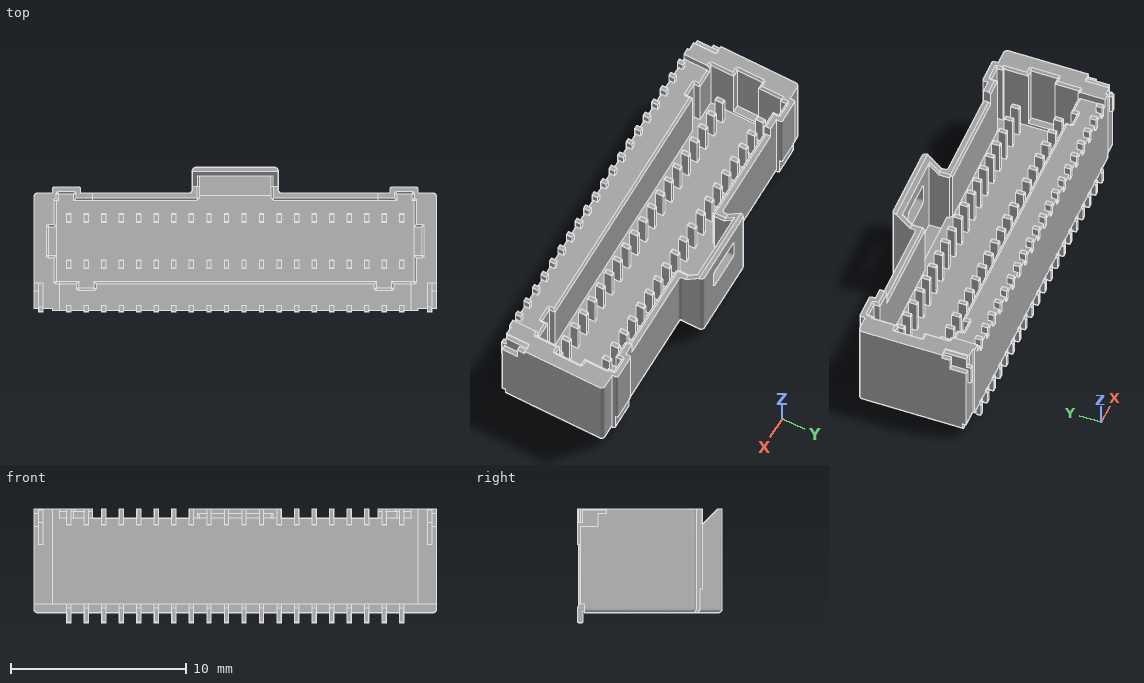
import cadquery as cq

length = 23.0
height = 5.93
back_y = 6.72
end_front_y = 0.12
panel_half = 10.45
edge_round = 0.23
bump_round = 0.12
foot_recess_depth = 0.32
foot_recess_height = 0.5

front_wall_top = 5.4
front_wall_half = 10.03
back_wall_top = 5.08
back_wall_half = 8.15

floor_z = 1.52
cavity_half = 10.21
cavity_front = 1.65
cavity_back = 6.28
rim = 0.14

bump_inner_x = 8.83
bump_outer_x = 10.45
bump_back = 7.05
bump_foot_back = 6.92
bump_foot_height = 1.35
bump_pocket_inner_x = 9.22
bump_pocket_outer_x = 10.1
bump_pocket_back = 6.65

latch_half = 2.45
latch_back = 8.19
latch_side_wall = 0.41
latch_back_wall = 0.5
latch_slope_start = 7.94
latch_floor_z = 0.4
latch_floor_front = 6.58
latch_corner_round = 0.14
latch_root_round = 0.15
latch_rim = 0.12
window_width = 2.44
window_bottom = 3.22
window_top = 4.78
window_round = 0.3

end_slot_x = 10.65
end_slot_y = (3.15, 4.78)
end_slot_floor_z = 1.75
front_key_x = (8.07, 8.92)
front_key_y = 1.29

pins_per_row = 20
pitch = 1.0
pin_width = 0.25
pin_depth = 0.5
pin_top = 3.73
pin_rows_y = (2.65, 5.3)
pin_chamfer = 0.05
lead_front = -0.07
hook_back = 0.3
hook_bottom = 5.01
tail_bottom = -0.58
tail_tip_chamfer = 0.07

clip_outer_x = 11.22
clip_inner_x = 10.97
clip_back = 1.59
clip_top = 5.86
clip_front = 0.2
clip_leg_top = 5.18
clip_leg_bottom = 3.9
clip_pocket_y = 1.1
clip_pocket_z = 4.95
clip_ledge_z = 5.68

pocket_half = latch_half - latch_side_wall
pocket_back = latch_back - latch_back_wall
cavity_middle = (cavity_front + cavity_back) / 2
slope_foot = latch_slope_start - (height - back_wall_top)

eps = 0.23
pin_xs = [(i - (pins_per_row - 1) / 2) * pitch for i in range(pins_per_row)]


def block(x0, x1, y0, y1, z0, z1):
    """Box between two opposite corners."""
    return cq.Workplane("XY").box(x1 - x0, y1 - y0, z1 - z0, centered=False).translate((x0, y0, z0))


def both_ends(body):
    """A body on the -X side together with its mirror image."""
    return body.union(body.mirror("YZ"))


def profile_along_x(points, width):
    """Extrude a (Y, Z) profile symmetrically about X = 0."""
    return cq.Workplane("YZ").polyline(points).close().extrude(width / 2, both=True)


def latch_root_fillet():
    """Concave filler in the outer corner between one side of the latch and the back wall."""
    r = latch_root_round
    x = -latch_half
    return (
        cq.Workplane("XY", origin=(0, 0, edge_round))
        .moveTo(x + eps, back_y - eps)
        .lineTo(x - r, back_y - eps)
        .lineTo(x - r, back_y)
        .radiusArc((x, back_y + r), -r)
        .lineTo(x + eps, back_y + r)
        .close()
        .extrude(height - edge_round)
    )


def outer_body():
    half = length / 2
    body = block(-half, half, end_front_y, back_y, 0, height)
    body = body.edges("|Z and >Y").fillet(edge_round)
    body = body.faces("<Z").edges("not <Y").fillet(edge_round)
    body = body.union(block(-panel_half, panel_half, 0, end_front_y + eps, 0, height))

    latch = block(-latch_half, latch_half, back_y - 2 * eps, latch_back, 0, height)
    latch = latch.edges("|Z and >Y").fillet(edge_round)
    latch = latch.faces("<Z").edges("not <Y").fillet(edge_round)
    body = body.union(latch).union(both_ends(latch_root_fillet()))

    bump = block(-bump_outer_x, -bump_inner_x, back_y - 2 * eps, bump_back, bump_foot_height, height)
    bump = bump.edges("|Z and >Y").fillet(bump_round)
    foot = block(-bump_outer_x, -bump_inner_x, back_y - 2 * eps, bump_foot_back, 0, bump_foot_height)
    foot = foot.faces("<Z").edges(">Y").fillet(edge_round)
    body = body.union(both_ends(bump.union(foot)))

    recess = block(-half - eps, half + eps, -eps, foot_recess_depth, -eps, foot_recess_height)
    return body.cut(recess)


def lower_walls(body):
    """Drop the front and back walls below the ends, sloping up to the top of the latch."""
    above = height + eps
    back_cut = profile_along_x(
        [
            (cavity_middle, above),
            (cavity_middle, back_wall_top),
            (slope_foot, back_wall_top),
            (latch_slope_start, height),
            (latch_slope_start, above),
        ],
        2 * back_wall_half,
    )
    front_cut = block(-front_wall_half, front_wall_half, -eps, cavity_middle, front_wall_top, above)
    return body.cut(back_cut).cut(front_cut)


def cavity_pieces(bottom, top, slot_bottom, taper=0):
    """Main cavity, latch pocket, bump pockets and key slots; a negative taper flares them upwards."""

    def pocket(x0, x1, y0, y1, z0=bottom):
        base = cq.Workplane("XY", origin=((x0 + x1) / 2, (y0 + y1) / 2, z0))
        return base.rect(x1 - x0, y1 - y0).extrude(top - z0, taper=taper)

    pieces = pocket(-cavity_half, cavity_half, cavity_front, cavity_back)
    pieces = pieces.union(pocket(-pocket_half, pocket_half, cavity_middle, pocket_back))
    sides = pocket(-bump_pocket_outer_x, -bump_pocket_inner_x, cavity_middle, bump_pocket_back)
    sides = sides.union(pocket(-end_slot_x, -cavity_half + 2 * eps, *end_slot_y, slot_bottom))
    sides = sides.union(pocket(-front_key_x[1], -front_key_x[0], front_key_y, cavity_middle))
    return pieces.union(both_ends(sides))


def latch_slope_chamfer():
    """Wedge that bevels one sloped edge of the latch pocket, swept along the 45 degree slope."""
    corners = [
        (-pocket_half + eps, -latch_rim),
        (-pocket_half, -latch_rim),
        (-pocket_half - latch_rim, 0),
        (-pocket_half - latch_rim, eps),
        (-pocket_half + eps, eps),
    ]
    points = [cq.Vector(x, slope_foot, back_wall_top + z) for x, z in corners]
    run = pocket_back - slope_foot
    wedge = cq.Solid.extrudeLinear(cq.Wire.makePolygon(points, close=True), [], cq.Vector(0, run, run))
    return cq.Workplane(obj=wedge)


def rounded_pocket_corner():
    """Cutter that rounds one corner between the latch pocket and the back wall."""
    r = latch_corner_round
    x = -pocket_half
    return (
        cq.Workplane("XY", origin=(0, 0, floor_z))
        .moveTo(x, cavity_back)
        .lineTo(x - r, cavity_back)
        .radiusArc((x, cavity_back + r), r)
        .close()
        .extrude(height - floor_z)
    )


def hollow(body):
    body = body.cut(cavity_pieces(floor_z, height + eps, end_slot_floor_z))
    body = body.cut(block(-pocket_half, pocket_half, latch_floor_front, pocket_back, latch_floor_z, height))
    body = body.cut(both_ends(rounded_pocket_corner()))
    body = body.cut(both_ends(latch_slope_chamfer()))

    half = length / 2
    front_zone = block(-front_wall_half, front_wall_half, 0, cavity_middle, 0, height)
    back_zone = block(-back_wall_half, back_wall_half, cavity_middle, slope_foot, 0, height)
    end_zone = block(-half, half, 0, bump_back, 0, height).cut(front_zone)
    end_zone = end_zone.cut(block(-back_wall_half, back_wall_half, cavity_middle, bump_back, 0, height))
    for zone, top in ((front_zone, front_wall_top), (back_zone, back_wall_top), (end_zone, height)):
        body = body.cut(cavity_pieces(top - rim, top, top - rim, taper=-45).intersect(zone))
    return body


def latch_window():
    return (
        cq.Workplane("XZ", origin=(0, latch_back + eps, (window_bottom + window_top) / 2))
        .rect(window_width, window_top - window_bottom)
        .extrude(latch_back_wall + 2 * eps)
        .edges("|Y")
        .fillet(window_round)
    )


def contact_pin(y):
    pin = block(
        -pin_width / 2, pin_width / 2, y - pin_depth / 2, y + pin_depth / 2, floor_z - eps, pin_top
    )
    return pin.faces(">Z").edges("|X").chamfer(pin_chamfer)


def hook():
    """Terminal end folded over the top of the front wall."""
    return profile_along_x(
        [
            (hook_back, front_wall_top - eps),
            (hook_back, height),
            (lead_front, height),
            (lead_front, hook_bottom + pin_chamfer),
            (lead_front + pin_chamfer, hook_bottom),
            (hook_back, hook_bottom),
        ],
        pin_width,
    )


def tail():
    """Solder tail stepping forward and down out of the lower recess."""
    shoulder_front = 0.05
    bend_z = 0.28
    back = 0.25
    root_bottom = 0.07
    return profile_along_x(
        [
            (foot_recess_depth + eps, foot_recess_height),
            (shoulder_front, foot_recess_height),
            (lead_front, bend_z),
            (lead_front, tail_bottom + tail_tip_chamfer),
            (lead_front + tail_tip_chamfer, tail_bottom),
            (back - tail_tip_chamfer, tail_bottom),
            (back, tail_bottom + tail_tip_chamfer),
            (back, root_bottom),
            (foot_recess_depth + eps, root_bottom),
        ],
        pin_width,
    )


def clip_pocket():
    """Stepped opening in the end face and a narrow gap that expose the clip."""
    x0 = -length / 2 - eps
    above = height + eps
    pocket = block(x0, -clip_outer_x, -eps, clip_back, clip_ledge_z, above)
    pocket = pocket.union(block(x0, -clip_outer_x, -eps, clip_pocket_y, clip_pocket_z, above))
    pocket = pocket.union(block(-clip_outer_x, -clip_inner_x, -eps, clip_back, clip_top, above))
    return pocket.union(block(-clip_outer_x, -clip_inner_x, -eps, clip_front, clip_leg_top, above))


def clip_leg():
    return block(
        -clip_outer_x, -clip_inner_x, lead_front, end_front_y + eps, clip_leg_bottom, clip_leg_top
    )


result = hollow(lower_walls(outer_body()))
result = result.cut(latch_window())
result = result.cut(both_ends(clip_pocket())).union(both_ends(clip_leg()))

terminal = hook().union(tail())
for row_y in pin_rows_y:
    terminal = terminal.union(contact_pin(row_y))
for x in pin_xs:
    result = result.union(terminal.translate((x, 0, 0)))